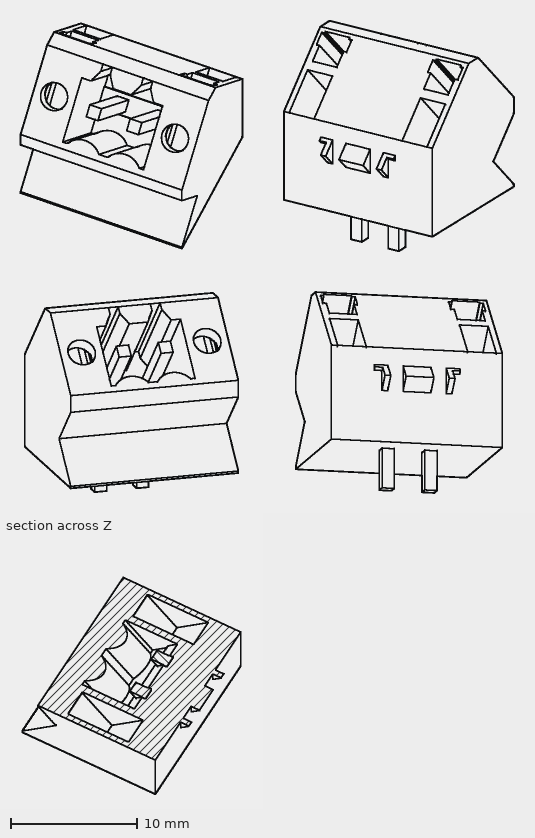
import cadquery as cq
import math

ROOT2 = math.sqrt(2)

housing_width = 13.95
housing_length = 12.1
housing_height = 13.02
front_slope = 5.32
rear_slope = 5.39
notch_depth = 3.07
toe_height = 0.18
face_bottom_z = housing_height - front_slope
face_length = front_slope * ROOT2
roof_rise = (housing_length + housing_height - rear_slope - face_bottom_z) / ROOT2

pitch = 3.49
contact_places = (-pitch / 2, pitch / 2)
pin_size = 1.0
pin_rise = 3.57
pin_tip_depth = 0.06
leg_y = 9.12
leg_length = 3.21

cavity_width = 2 * pitch
cavity_bottom = 0.54
cavity_top = 5.92
cavity_depth = 7.99
ridge_width = 2.76
ridge_height = 0.7
groove_top = face_length
groove_width = 0.81
groove_mouth = 1.93
groove_flare = 0.99
rib_width = 1.75
rib_height = 0.18

screw_x = 5.23
screw_hole_diameter = 2.24
nut_pocket_width = 2.27
nut_pocket_start = 1.28
nut_pocket_end = 3.96
nut_slot_width = 2.82
nut_slot_start = 1.43
nut_slot_end = 2.53
pocket_bottom = 0.7
rear_pocket_x = 5.3
rear_pocket_width = 2.34
rear_pocket_start = 4.75
rear_pocket_end = (housing_length + rear_slope - housing_height + face_bottom_z) / ROOT2

post_top = 7.51
post_bottom = cavity_bottom
post_end = 11.07
middle_post_width = 2.27
side_post_inner_x = 2.39
side_post_outer_x = 2.85
shoulder_end = 9.93
shoulder_outer_x = cavity_width / 2


def face_plane(depth):
    """Plane parallel to the plug face, with local Y up the slope."""
    return cq.Workplane(
        cq.Plane(origin=(0, 0, face_bottom_z), xDir=(1, 0, 0), normal=(0, -1, 1))
    ).workplane(offset=-depth)


def tilted_box(x_range, rise_range, depth_range):
    """Box in the tilted frame, given by its limits along X, rise and depth."""
    width = x_range[1] - x_range[0]
    height = rise_range[1] - rise_range[0]
    return (
        face_plane(depth_range[0])
        .center(sum(x_range) / 2, sum(rise_range) / 2)
        .rect(width, height)
        .extrude(depth_range[0] - depth_range[1])
    )


def centred(x, width):
    return (x - width / 2, x + width / 2)


def make_pin(x):
    """Square pin along the plug direction, bent down into a vertical leg."""
    half = pin_size / 2
    leg_front = leg_y - half
    leg_rear = leg_y + half
    upper_sum = face_bottom_z + (pin_rise + half) * ROOT2
    lower_sum = face_bottom_z + (pin_rise - half) * ROOT2
    tip_difference = face_bottom_z - pin_tip_depth * ROOT2
    outline = [
        ((upper_sum - tip_difference) / 2, (upper_sum + tip_difference) / 2),
        (leg_rear, upper_sum - leg_rear),
        (leg_rear, -leg_length),
        (leg_front, -leg_length),
        (leg_front, lower_sum - leg_front),
        ((lower_sum - tip_difference) / 2, (lower_sum + tip_difference) / 2),
    ]
    return cq.Workplane("YZ", origin=(x - half, 0, 0)).polyline(outline).close().extrude(pin_size)


def make_block():
    """Plain housing block with sloped faces and the V notch."""
    notch_top_z = toe_height + 2 * notch_depth
    return (
        cq.Workplane("YZ", origin=(-housing_width / 2, 0, 0))
        .moveTo(0, 0)
        .lineTo(0, toe_height)
        .lineTo(notch_depth, toe_height + notch_depth)
        .lineTo(0, notch_top_z)
        .lineTo(0, face_bottom_z)
        .lineTo(front_slope, housing_height)
        .lineTo(housing_length - rear_slope, housing_height)
        .lineTo(housing_length, housing_height - rear_slope)
        .lineTo(housing_length, 0)
        .close()
        .extrude(housing_width)
    )


def key_ridge(x):
    """Round ridge along the cavity bottom below one contact."""
    return (
        face_plane(0)
        .moveTo(x - ridge_width / 2, cavity_bottom)
        .threePointArc((x, cavity_bottom + ridge_height), (x + ridge_width / 2, cavity_bottom))
        .close()
        .extrude(-cavity_depth)
    )


def key_groove(x):
    """Groove in the cavity ceiling above one contact, flared towards the cavity."""
    flare_top = cavity_top + groove_flare
    outline = [
        (x - groove_mouth / 2, cavity_top),
        (x - groove_width / 2, flare_top),
        (x - groove_width / 2, groove_top),
        (x + groove_width / 2, groove_top),
        (x + groove_width / 2, flare_top),
        (x + groove_mouth / 2, cavity_top),
    ]
    return face_plane(0).polyline(outline).close().extrude(-cavity_depth)


def make_cavity():
    """Space for the plug, without the ridges and the floor rib."""
    x_range = centred(0, cavity_width)
    cavity = tilted_box(x_range, (cavity_bottom, cavity_top), (0, cavity_depth))
    cavity = cavity.cut(
        tilted_box(x_range, centred(pin_rise, rib_width), (cavity_depth - rib_height, cavity_depth))
    )
    for x in contact_places:
        cavity = cavity.cut(key_ridge(x)).union(key_groove(x))
    return cavity


def make_flange_cut(side):
    """Screw hole, nut pocket and rear pocket of one flange; side is -1 or 1."""
    x = side * screw_x
    rises = (pocket_bottom, roof_rise)
    hole = (
        face_plane(0)
        .center(x, face_length / 2)
        .circle(screw_hole_diameter / 2)
        .extrude(-nut_pocket_end)
    )
    pocket = tilted_box(centred(x, nut_pocket_width), rises, (nut_pocket_start, nut_pocket_end))
    slot = tilted_box(centred(x, nut_slot_width), rises, (nut_slot_start, nut_slot_end))
    rear_x_range = centred(side * rear_pocket_x, rear_pocket_width)
    rear_pocket = tilted_box(rear_x_range, rises, (rear_pocket_start, rear_pocket_end))
    return hole.union(pocket).union(slot).union(rear_pocket)


def make_posts():
    """Middle post and the two side posts with their shoulders, rooted behind the cavity."""
    rises = (post_bottom, post_top)
    posts = tilted_box(centred(0, middle_post_width), rises, (cavity_depth, post_end))
    for side in (-1, 1):
        post_x = sorted((side * side_post_inner_x, side * side_post_outer_x))
        shoulder_x = sorted((side * side_post_outer_x, side * shoulder_outer_x))
        posts = posts.union(tilted_box(post_x, rises, (cavity_depth, post_end)))
        posts = posts.union(tilted_box(shoulder_x, rises, (cavity_depth, shoulder_end)))
    return posts


def make_housing(contact_pins):
    housing = make_block().union(make_posts()).cut(make_cavity())
    for side in (-1, 1):
        housing = housing.cut(make_flange_cut(side))
    for pin in contact_pins:
        housing = housing.cut(pin)
    return housing


pins = [make_pin(x) for x in contact_places]
housing = make_housing(pins)

result = cq.Compound.makeCompound([housing.solids().val(), *[pin.val() for pin in pins]])